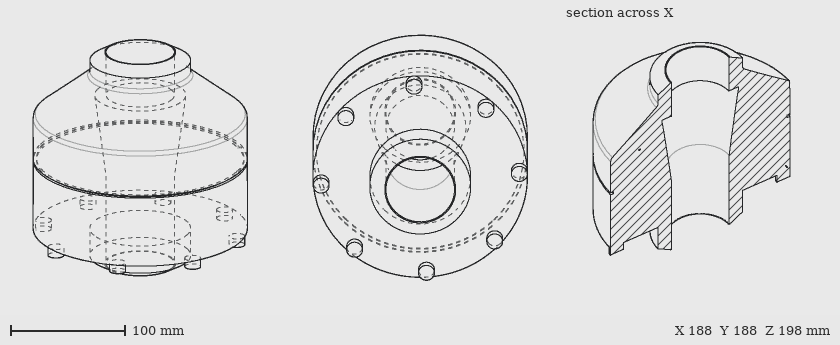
import cadquery as cq
import math

total_height = 198.0
body_radius = 188.0 / 2
neck_radius = 88.5 / 2
bore_radius = 60.1 / 2
chamber_top = 157.9
chamber_radius = 40.0
chamber_wall_angle = 7.5
weld_face_radius = 62.2 / 2
weld_bevel_angle = 30.0

body_bottom = 33.0
groove_bottom = 96.7
groove_width = 2.0
groove_radius = 182.0 / 2

cone_angle = 38.4
shoulder_height = 138.5
blend_radius = 5.0

bolt_count = 8
bolt_radius = 14.0 / 2
bolt_length = 8.0
bolt_circle_radius = body_radius - bolt_radius

bevel_height = (neck_radius - weld_face_radius) * math.tan(math.radians(weld_bevel_angle))
cone_rise = (body_radius - neck_radius) * math.tan(math.radians(cone_angle))
neck_height = shoulder_height + cone_rise
chamber_height = (chamber_radius - bore_radius) / math.tan(math.radians(chamber_wall_angle))
blend_probe = 1.0


def edges_at_height(z):
    """Selector for the edges lying in a thin slab around height z."""
    reach = 2 * body_radius
    return cq.selectors.BoxSelector(
        (-reach, -reach, z - blend_probe),
        (reach, reach, z + blend_probe),
        boundingbox=True,
    )


def make_body():
    """Revolved body: two bevelled pipe necks, cylindrical drum and upper cone."""
    outline = [
        (0, 0),
        (weld_face_radius, 0),
        (neck_radius, bevel_height),
        (neck_radius, body_bottom),
        (body_radius, body_bottom),
        (body_radius, shoulder_height),
        (neck_radius, neck_height),
        (neck_radius, total_height - bevel_height),
        (weld_face_radius, total_height),
        (0, total_height),
    ]
    body = cq.Workplane("XZ").polyline(outline).close().revolve(360, (0, 0), (0, 1))
    for corner_height in (shoulder_height, neck_height):
        body = body.edges(edges_at_height(corner_height)).fillet(blend_radius)
    return body


def make_joint_groove():
    """Ring removed from the drum where the two body halves meet."""
    return (
        cq.Workplane("XY")
        .workplane(offset=groove_bottom)
        .circle(body_radius)
        .circle(groove_radius)
        .extrude(groove_width)
    )


def make_bore():
    """Through passage with an inner chamber that narrows back to the bore."""
    outline = [
        (0, 0),
        (bore_radius, 0),
        (bore_radius, chamber_top - chamber_height),
        (chamber_radius, chamber_top),
        (bore_radius, chamber_top),
        (bore_radius, total_height),
        (0, total_height),
    ]
    return cq.Workplane("XZ").polyline(outline).close().revolve(360, (0, 0), (0, 1))


def make_bolt_ends():
    """Round bolt ends standing out below the drum."""
    return (
        cq.Workplane("XY")
        .workplane(offset=body_bottom)
        .polarArray(bolt_circle_radius, 0, 360, bolt_count)
        .circle(bolt_radius)
        .extrude(-bolt_length)
    )


result = make_body().cut(make_joint_groove()).cut(make_bore()).union(make_bolt_ends())